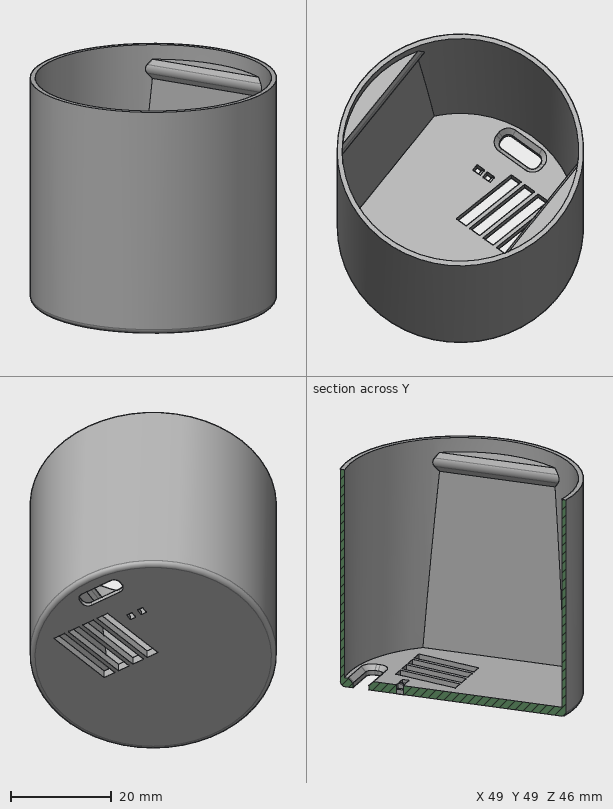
import cadquery as cq
import math

outer_diameter = 49.0
wall_thickness = 1.0
height = 46.0
floor_thickness = 2.0
bottom_fillet = 1.0
bore_radius = outer_diameter / 2 - wall_thickness

ledge_depth = 3.0
ledge_inset = 20.0
ledge_foot_inset = 18.0
bead_height = 4.0
bead_protrusion = 1.0
bead_radius = 2.0

vent_count = 4
vent_left = 0.5
vent_width = 14.0
vent_top = 1.4
vent_height = 2.5
vent_pitch = 3.35
vent_slope = 12.5
vent_drop = vent_width * math.tan(math.radians(vent_slope))

window_count = 2
window_center_x = 11.4
window_width = 1.4
window_top = 5.0
window_pitch = 2.5
window_recess_length = 1.85
window_opening_length = 1.2
window_recess_depth = 1.0

slot_center_x = 19.75
slot_width = 3.5
slot_length = 9.35
slot_corner_radius = 1.4
slot_chamfer = 1.0
slot_chamfer_angle = 45.0


def make_bore():
    """Inner space of the cup, from the floor to the rim."""
    depth = height - floor_thickness
    return cq.Workplane("XY", origin=(0, 0, floor_thickness)).circle(bore_radius).extrude(depth)


def make_cup():
    body = cq.Workplane("XY").circle(outer_diameter / 2).extrude(height)
    body = body.faces("<Z").edges().fillet(bottom_fillet)
    return body.cut(make_bore())


def make_ledge():
    """Solid segment on the +Y side, with a beaded and leaning inner face."""
    top = height - ledge_depth
    bead_bottom = top - bead_height
    bead_tip = (ledge_inset - bead_protrusion, top - bead_height / 2)
    back = outer_diameter / 2
    profile = [
        (back, floor_thickness),
        (ledge_foot_inset, floor_thickness),
        (ledge_inset, bead_bottom),
        bead_tip,
        (ledge_inset, top),
        (back, top),
    ]
    block = cq.Workplane("YZ").polyline(profile).close().extrude(bore_radius, both=True)
    tip_edge = cq.selectors.NearestToPointSelector((0, *bead_tip))
    block = block.edges(tip_edge).fillet(bead_radius)
    return block.intersect(make_bore())


def make_vent(index):
    """Parallelogram through the floor, falling toward +X."""
    top = vent_top - index * vent_pitch
    right = vent_left + vent_width
    corners = [
        (vent_left, top),
        (right, top - vent_drop),
        (right, top - vent_drop - vent_height),
        (vent_left, top - vent_height),
    ]
    return cq.Workplane("XY").polyline(corners).close().extrude(floor_thickness)


def make_window(index):
    """Through opening that widens toward -Y into a shallow recess in the floor."""
    top = window_top - index * window_pitch

    def window_box(length, bottom):
        box = cq.Workplane("XY").box(
            window_width, length, floor_thickness - bottom, centered=(True, True, False)
        )
        return box.translate((window_center_x, top - length / 2, bottom))

    opening = window_box(window_opening_length, 0)
    recess = window_box(window_recess_length, floor_thickness - window_recess_depth)
    return opening.union(recess)


def make_slot():
    """Rounded opening with a countersink at the floor's upper face."""
    slot = cq.Workplane("XY").rect(slot_width, slot_length).extrude(floor_thickness)
    slot = slot.edges("|Z").fillet(slot_corner_radius)
    mouth = cq.Sketch().rect(slot_width + 2 * slot_chamfer, slot_length + 2 * slot_chamfer)
    mouth = mouth.vertices().fillet(slot_corner_radius + slot_chamfer)
    countersink = (
        cq.Workplane("XY", origin=(0, 0, floor_thickness))
        .placeSketch(mouth)
        .extrude(-slot_chamfer, taper=slot_chamfer_angle)
    )
    return slot.union(countersink).translate((slot_center_x, 0, 0))


ledge = make_ledge()
cup = make_cup().union(ledge).union(ledge.mirror("XZ"))
for vent_index in range(vent_count):
    cup = cup.cut(make_vent(vent_index))
for window_index in range(window_count):
    cup = cup.cut(make_window(window_index))
cup = cup.cut(make_slot())

result = cup.solids()